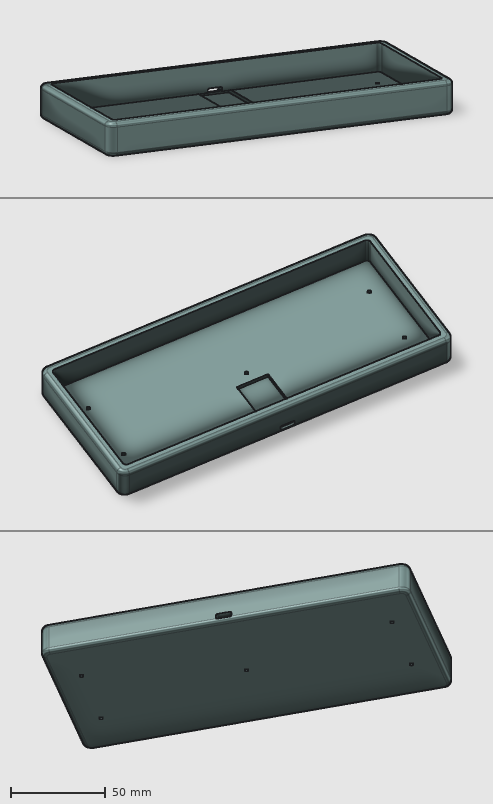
import cadquery as cq

width = 88.85
length = 202.85
height = 19.0
corner_radius = 5.0
edge_radius = 2.5

wall = 5.0
floor_thickness = 3.0
cavity_corner_radius = 2.0
cavity_width = width - 2 * wall
cavity_length = length - 2 * wall

pocket_length = 33.0
pocket_width = 19.0
pocket_depth = 2.0
pocket_floor = floor_thickness - pocket_depth
pocket_undercut = 3.0

port_bottom = 2.2
port_width = 8.5
port_height = 3.2
port_corner_radius = 1.0

hole_diameter = 2.0
hole_spacing_x = 38.0
hole_spacing_y = 171.0


def make_body():
    """Block with rounded vertical corners and rounded top and bottom rims."""
    block = cq.Workplane("XY").box(width, length, height, centered=(True, True, False))
    block = block.edges("|Z").fillet(corner_radius)
    return block.faces("<Z or >Z").edges().fillet(edge_radius)


def make_cavity():
    """Rounded rectangular space above the floor."""
    cavity = cq.Workplane("XY", origin=(0, 0, floor_thickness))
    cavity = cavity.rect(cavity_width, cavity_length).extrude(height - floor_thickness)
    return cavity.edges("|Z").fillet(cavity_corner_radius)


def make_pocket():
    """Rectangular recess in the floor, centred along Y and undercutting the -X wall."""
    full_length = pocket_length + pocket_undercut
    start_x = -cavity_width / 2 - pocket_undercut
    pocket = cq.Workplane("XY", origin=(start_x + full_length / 2, 0, pocket_floor))
    return pocket.rect(full_length, pocket_width).extrude(pocket_depth)


def make_port():
    """Opening with rounded corners, from the outer -X side into the cavity."""
    centre_x = (wall - width) / 2
    port = cq.Workplane("XY", origin=(centre_x, 0, port_bottom))
    port = port.rect(wall, port_width).extrude(port_height)
    return port.edges("|X").fillet(port_corner_radius)


def make_holes():
    """One hole at the centre and four near the corners of the floor."""
    corners = [
        (side_x * hole_spacing_x / 2, side_y * hole_spacing_y / 2)
        for side_x in (-1, 1)
        for side_y in (-1, 1)
    ]
    holes = cq.Workplane("XY").pushPoints([(0, 0)] + corners)
    return holes.circle(hole_diameter / 2).extrude(floor_thickness)


result = (
    make_body()
    .cut(make_cavity())
    .cut(make_pocket())
    .cut(make_port())
    .cut(make_holes())
)